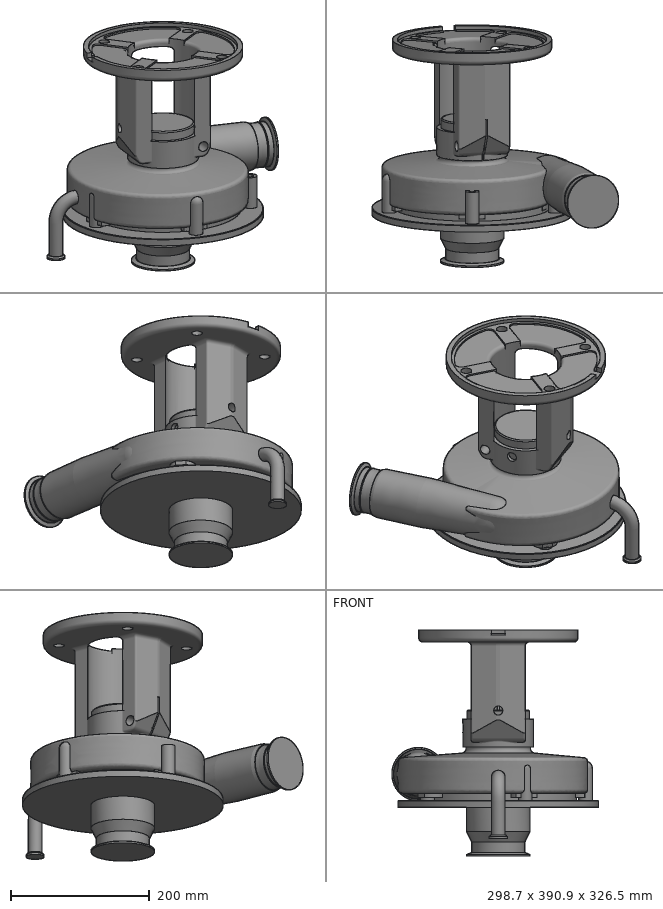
import cadquery as cq
import math


PLATE_R = 145.0
PLATE_T = 10.0
PLATE_CHAMFER = 1.0
SUCTION_R = 46.0
SUCTION_END_R = 38.4
SUCTION_CONE_TOP_Z = -34.8
SUCTION_CONE_BOTTOM_Z = -50.0
SUCTION_END_Z = -70.3
SUCTION_FERRULE_R = 45.8

FERRULE_T = 2.5
FERRULE_TAPER = 2.5
FERRULE_LAND = 1.0

VOLUTE_R_AT_Y = 121.0
VOLUTE_GROWTH = 7.75
VOLUTE_START = math.radians(-67)
VOLUTE_END = math.radians(284)
SPIRAL_STEPS = 24
VOLUTE_BOTTOM_Z = 20.0
VOLUTE_RIM_Z = 71.4
ROOF_R = 54.0
ROOF_Z = 78.4
VOLUTE_FILLET = 5.5
DRUM_R = 113.0

LUG_COUNT = 5
LUG_CIRCLE_R = 126.0
LUG_R = 10.0
LUG_SPHERE_Z = 56.5
FLAT_LUG = 1
LUG_HOLE_D = 10.0
LUG_HOLE_DEPTH = 10.0
PAD_CIRCLE_R = 120.0
PAD_R = 19.0
PAD_INSET = 3.5
PAD_BOTTOM_Z = 14.0
PAD_OVERLAP = 1.0

OUTLET_X = -115.0
OUTLET_Z = 48.0
OUTLET_END_Y = 211.0
OUTLET_FERRULE_R = 38.7
OUTLET_ROOT_R = 31.0
OUTLET_R = 36.3
OUTLET_CONE_END_Y = 107.0
OUTLET_SHOULDER_Y = 176.0
OUTLET_SHOULDER_L = 5.5
OUTLET_SHOULDER_START_R = 35.7
OUTLET_SHOULDER_R = 34.3
OUTLET_NECK_R = 32.6
OUTLET_NECK_FLARE_R = 33.2
OUTLET_NECK_Y = 188.0
BEAD_Y = 196.5
BEAD_W = 2.0
BEAD_H = 0.8

DRAIN_R = 10.0
DRAIN_Z = 43.8
DRAIN_BEND_R = 34.0
DRAIN_Y = -166.8
DRAIN_START_Y = -110.0
DRAIN_END_Z = -44.8
DRAIN_FERRULE_R = 13.1

NECK_R = 46.8
NECK_Z = 83.8
NECK_FLARE_R = 6.5
RING_R = 51.2
RING_BOTTOM_Z = 87.0
RING_TOP_Z = 127.3
CORE_R = 45.2
CORE_TOP_Z = 140.8
CORE_CHAMFER = 1.8
RING_HOLE_D = 14.0
RING_HOLE_Z = 114.8

FLANGE_R = 115.0
FLANGE_TOP_Z = 256.2
FLANGE_T = 17.6
FLANGE_FILLET = 6.0
RECESS_R = 107.5
RECESS_DEPTH = 5.0
POCKET_R = 103.0
POCKET_DEPTH = 7.3
POCKET_CORNER_R = 9.0
POCKET_MOUTH_R = 5.5
SPOKE_W = 23.7
SPOKE_ANGLE = 45.0
BOLT_COUNT = 4
BOLT_CIRCLE_R = 92.3
BOLT_HOLE_D = 15.3
RIM_SLOT_W = 20.0
RIM_SLOT_L = 19.0

LEG_HALF_W = 39.0
LEG_RIDGE_HALF_W = 2.7
LEG_RIDGE_Y = 68.3
LEG_SHOULDER_Y = 58.0
LEG_INNER_Y = 20.0
LEG_BOTTOM_Z = 94.0
LEG_FILLET = 3.0
LEG_TOP_FILLET = 6.0
TOE_TOP_Z = 126.0
TOE_BOTTOM_Y = 52.0
TOE_FILLET = 11.0
RING_BLEND_R = 2.0
RIDGE_HOLE_D = 13.0
RIDGE_HOLE_Z = 139.7
CLAMP_HOLE_D = 14.6
CLAMP_HOLE_Y = 47.0
CLAMP_HOLE_Z = 109.6
CLAMP_SLIT_W = 2.8
CLAMP_SLIT_TOP_Z = 150.0

TOLERANCE = 0.05

FLANGE_BOTTOM_Z = FLANGE_TOP_Z - FLANGE_T
POCKET_FLOOR_Z = FLANGE_TOP_Z - POCKET_DEPTH


def cylinder(radius, bottom_z, top_z):
    return cq.Workplane("XY").workplane(offset=bottom_z).circle(radius).extrude(top_z - bottom_z)


def revolved(profile):
    """Turn a closed (radius, height) outline about the Z axis."""
    return cq.Workplane("XZ").polyline(profile).close().revolve(360, (0, 0, 0), (0, 1, 0))


def ferrule(disc_r, pipe_r):
    """Clamp ferrule whose flat end lies at Z = 0, tapering to the pipe above it."""
    taper_top = FERRULE_T + FERRULE_TAPER
    return revolved([
        (0, 0),
        (disc_r, 0),
        (disc_r, FERRULE_T),
        (pipe_r + FERRULE_LAND, taper_top),
        (0, taper_top),
    ])


def base_and_suction():
    plate = cylinder(PLATE_R, 0, PLATE_T).faces(">Z").edges().chamfer(PLATE_CHAMFER)
    pipe = revolved([
        (0, PLATE_T / 2),
        (SUCTION_R, PLATE_T / 2),
        (SUCTION_R, SUCTION_CONE_TOP_Z),
        (SUCTION_END_R, SUCTION_CONE_BOTTOM_Z),
        (SUCTION_END_R, SUCTION_END_Z),
        (0, SUCTION_END_Z),
    ])
    end = ferrule(SUCTION_FERRULE_R, SUCTION_END_R).translate((0, 0, SUCTION_END_Z))
    return plate.union(pipe).union(end)


def polar_point(radius, angle):
    """Point at a clockwise angle from +Y, seen from above."""
    return (radius * math.sin(angle), radius * math.cos(angle))


def spiral_point(angle, inset=0):
    return polar_point(VOLUTE_R_AT_Y - inset + VOLUTE_GROWTH * angle / (math.pi / 2), angle)


def spiral_outline(height, inset=0):
    step = (VOLUTE_END - VOLUTE_START) / SPIRAL_STEPS
    points = [spiral_point(VOLUTE_START + step * i, inset) for i in range(SPIRAL_STEPS + 1)]
    return cq.Workplane("XY").workplane(offset=height).spline(points).close()


def roof_circle(height):
    """Circle divided at the two ends of the spiral, so that the roof can be ruled between them."""
    middle = (VOLUTE_START + VOLUTE_END) / 2
    start = polar_point(ROOF_R, VOLUTE_START)
    end = polar_point(ROOF_R, VOLUTE_END)
    return (
        cq.Workplane("XY")
        .workplane(offset=height)
        .moveTo(*start)
        .threePointArc(polar_point(ROOF_R, middle), end)
        .threePointArc(polar_point(ROOF_R, middle + math.pi), start)
        .close()
    )


def volute():
    wall = spiral_outline(VOLUTE_BOTTOM_Z).extrude(VOLUTE_RIM_Z - VOLUTE_BOTTOM_Z)
    rim_wire = spiral_outline(VOLUTE_RIM_Z).val()
    roof_wire = roof_circle(ROOF_Z).val()
    roof = cq.Workplane("XY").newObject([cq.Solid.makeLoft([rim_wire, roof_wire], True)])
    body = wall.union(roof)
    rim = body.edges().filter(lambda edge: edge.BoundingBox().zmin > VOLUTE_RIM_Z - TOLERANCE)
    rim = rim.filter(lambda edge: edge.BoundingBox().zmax < VOLUTE_RIM_Z + TOLERANCE)
    body = body.newObject(rim.vals()).fillet(VOLUTE_FILLET)
    body = body.faces("<Z").edges().fillet(VOLUTE_FILLET)
    return body.union(cylinder(DRUM_R, PLATE_T / 2, VOLUTE_BOTTOM_Z + PAD_OVERLAP))


def at_lug_positions(body, positions):
    """Copies of a body made on the +X side, turned to the given lug positions."""
    copies = cq.Workplane("XY")
    for i in positions:
        copies = copies.add(body.rotate((0, 0, 0), (0, 0, 1), 360 / LUG_COUNT * i))
    return copies.combine()


def lugs():
    domed = [i for i in range(LUG_COUNT) if i != FLAT_LUG]
    post = cylinder(LUG_R, PLATE_T / 2, LUG_SPHERE_Z)
    dome = cq.Workplane("XY").sphere(LUG_R).translate((0, 0, LUG_SPHERE_Z))
    domed_lug = post.union(dome).translate((LUG_CIRCLE_R, 0, 0))
    flat_lug = post.faces(">Z").workplane().hole(LUG_HOLE_D, LUG_HOLE_DEPTH).translate((LUG_CIRCLE_R, 0, 0))
    return at_lug_positions(domed_lug, domed).add(at_lug_positions(flat_lug, [FLAT_LUG])).combine()


def pads():
    """Round pads hanging below the volute beside the lugs, trimmed to the spiral."""
    disc_top_z = VOLUTE_BOTTOM_Z + PAD_OVERLAP
    disc = cylinder(PAD_R, PAD_BOTTOM_Z, disc_top_z).translate((PAD_CIRCLE_R, 0, 0))
    limit = spiral_outline(PAD_BOTTOM_Z, PAD_INSET).extrude(disc_top_z - PAD_BOTTOM_Z)
    return at_lug_positions(disc, range(LUG_COUNT)).intersect(limit)


def outlet_pipe():
    shoulder_end = OUTLET_SHOULDER_Y + OUTLET_SHOULDER_L
    tube = revolved([
        (0, 0),
        (OUTLET_ROOT_R, 0),
        (OUTLET_R, OUTLET_CONE_END_Y),
        (OUTLET_SHOULDER_START_R, OUTLET_SHOULDER_Y),
        (OUTLET_SHOULDER_R, shoulder_end),
        (OUTLET_NECK_FLARE_R, shoulder_end),
        (OUTLET_NECK_R, OUTLET_NECK_Y),
        (OUTLET_NECK_R, BEAD_Y),
        (OUTLET_NECK_R + BEAD_H, BEAD_Y + BEAD_W / 2),
        (OUTLET_NECK_R, BEAD_Y + BEAD_W),
        (OUTLET_NECK_R, OUTLET_END_Y),
        (0, OUTLET_END_Y),
    ])
    tube = tube.union(cq.Workplane("XY").sphere(OUTLET_ROOT_R))
    end = ferrule(OUTLET_FERRULE_R, OUTLET_NECK_R).mirror("XY").translate((0, 0, OUTLET_END_Y))
    along_y = tube.union(end).rotate((0, 0, 0), (1, 0, 0), -90)
    return along_y.translate((OUTLET_X, 0, OUTLET_Z))


def drain_pipe():
    bend_y = DRAIN_Y + DRAIN_BEND_R
    path = (
        cq.Workplane("YZ")
        .moveTo(DRAIN_START_Y, DRAIN_Z)
        .lineTo(bend_y, DRAIN_Z)
        .radiusArc((DRAIN_Y, DRAIN_Z - DRAIN_BEND_R), -DRAIN_BEND_R)
        .lineTo(DRAIN_Y, DRAIN_END_Z)
    )
    pipe = (
        cq.Workplane("XZ", origin=(0, DRAIN_START_Y, DRAIN_Z))
        .circle(DRAIN_R)
        .sweep(path)
    )
    end = ferrule(DRAIN_FERRULE_R, DRAIN_R).translate((0, DRAIN_Y, DRAIN_END_Z))
    return pipe.union(end)


def neck_and_core():
    neck = (
        cq.Workplane("XZ")
        .moveTo(0, VOLUTE_RIM_Z)
        .lineTo(ROOF_R, VOLUTE_RIM_Z)
        .lineTo(ROOF_R, ROOF_Z)
        .radiusArc((NECK_R, NECK_Z), NECK_FLARE_R)
        .lineTo(NECK_R, RING_BOTTOM_Z)
        .lineTo(0, RING_BOTTOM_Z)
        .close()
        .revolve(360, (0, 0, 0), (0, 1, 0))
    )
    core = cylinder(CORE_R, RING_BOTTOM_Z, CORE_TOP_Z).faces(">Z").edges().chamfer(CORE_CHAMFER)
    return neck.union(core)


def spokes():
    """Two crossing bars that reach across the flange over its full thickness."""
    bar = cq.Workplane("XY").workplane(offset=FLANGE_BOTTOM_Z).rect(2 * FLANGE_R, SPOKE_W).extrude(FLANGE_T)
    return bar.rotate((0, 0, 0), (0, 0, 1), SPOKE_ANGLE).union(bar.rotate((0, 0, 0), (0, 0, 1), -SPOKE_ANGLE))


def flange_pockets():
    """Four pockets between the spokes that carry the bolt holes."""
    sectors = cylinder(POCKET_R, POCKET_FLOOR_Z, FLANGE_TOP_Z).cut(spokes())
    outer_corners = sectors.edges("|Z").filter(
        lambda edge: math.hypot(edge.Center().x, edge.Center().y) > RING_R
    )
    pockets = cq.Workplane("XY")
    for sector in sectors.solids().vals():
        corners = [edge for edge in outer_corners.vals() if sector.isInside(edge.Center(), TOLERANCE)]
        pockets = pockets.add(sector.fillet(POCKET_CORNER_R, corners))
    return pockets.combine()


def pocket_mouth():
    """Rounded funnel that eases the pocket floors into the bore."""
    r = POCKET_MOUTH_R
    funnel = (
        cq.Workplane("XZ")
        .moveTo(0, POCKET_FLOOR_Z - r)
        .lineTo(RING_R, POCKET_FLOOR_Z - r)
        .radiusArc((RING_R + r, POCKET_FLOOR_Z), r)
        .lineTo(RING_R + r, FLANGE_TOP_Z)
        .lineTo(0, FLANGE_TOP_Z)
        .close()
        .revolve(360, (0, 0, 0), (0, 1, 0))
    )
    return funnel.cut(spokes())


def leg():
    """Leg on the +Y side, with a sloped toe."""
    height = FLANGE_BOTTOM_Z - LEG_BOTTOM_Z
    body = (
        cq.Workplane("XY")
        .workplane(offset=LEG_BOTTOM_Z)
        .polyline([
            (-LEG_HALF_W, LEG_INNER_Y),
            (-LEG_HALF_W, LEG_SHOULDER_Y),
            (-LEG_RIDGE_HALF_W, LEG_RIDGE_Y),
            (LEG_RIDGE_HALF_W, LEG_RIDGE_Y),
            (LEG_HALF_W, LEG_SHOULDER_Y),
            (LEG_HALF_W, LEG_INNER_Y),
        ])
        .close()
        .extrude(height)
    )
    toe = (
        cq.Workplane("YZ")
        .polyline([
            (TOE_BOTTOM_Y, LEG_BOTTOM_Z),
            (LEG_RIDGE_Y, TOE_TOP_Z),
            (LEG_RIDGE_Y, LEG_BOTTOM_Z),
        ])
        .close()
        .extrude(LEG_HALF_W, both=True)
    )
    body = body.cut(toe)
    body = body.faces("<Z").edges(">Y").fillet(TOE_FILLET)
    side_outlines = body.faces("<X or >X").edges("not(<Y or >Z)")
    return body.newObject(side_outlines.vals()).fillet(LEG_FILLET)


def flange_with_legs():
    flange = cylinder(FLANGE_R, FLANGE_BOTTOM_Z, FLANGE_TOP_Z).faces("<Z").edges().fillet(FLANGE_FILLET)
    body = flange.union(leg()).union(leg().mirror("XZ"))
    junction = body.faces(cq.selectors.NearestToPointSelector((0, 0, FLANGE_BOTTOM_Z)))
    outline = junction.edges("not %CIRCLE").filter(lambda edge: abs(edge.Center().y) > LEG_INNER_Y)
    body = body.newObject(outline.vals()).fillet(LEG_TOP_FILLET)
    bore = cylinder(RING_R, RING_TOP_Z, FLANGE_TOP_Z)
    return body.cut(bore)


def flange_cuts():
    recess = cylinder(RECESS_R, FLANGE_TOP_Z - RECESS_DEPTH, FLANGE_TOP_Z)
    bolt_holes = (
        cq.Workplane("XY")
        .workplane(offset=FLANGE_BOTTOM_Z)
        .polarArray(BOLT_CIRCLE_R, SPOKE_ANGLE, 360, BOLT_COUNT)
        .circle(BOLT_HOLE_D / 2)
        .extrude(FLANGE_T)
    )
    rim_slot = cq.Workplane("XY").box(
        RIM_SLOT_W, RIM_SLOT_L, POCKET_DEPTH, centered=(True, False, False)
    ).translate((0, -FLANGE_R, POCKET_FLOOR_Z))
    pockets = flange_pockets().union(pocket_mouth())
    return recess.union(bolt_holes).union(rim_slot).union(pockets)


def clamp_cuts():
    """Holes in the legs and ring, and the slit that splits the ring on the +Y side."""
    reach = LEG_RIDGE_Y - CORE_R
    ridge_hole = (
        cq.Workplane("XZ", origin=(0, -CORE_R, RIDGE_HOLE_Z))
        .circle(RIDGE_HOLE_D / 2)
        .extrude(reach)
    )
    clamp_hole = (
        cq.Workplane("YZ", origin=(0, CLAMP_HOLE_Y, CLAMP_HOLE_Z))
        .circle(CLAMP_HOLE_D / 2)
        .extrude(RING_R, both=True)
    )
    slit_height = CLAMP_SLIT_TOP_Z - RING_BOTTOM_Z
    slit = cq.Workplane("XY").box(
        CLAMP_SLIT_W, LEG_RIDGE_Y, slit_height, centered=(True, False, False)
    ).translate((0, 0, RING_BOTTOM_Z))
    ring_hole = (
        cq.Workplane("YZ", origin=(0, 0, RING_HOLE_Z))
        .circle(RING_HOLE_D / 2)
        .extrude(-RING_R)
    )
    return ridge_hole.union(clamp_hole).union(slit).union(ring_hole)


def motor_adapter():
    ring = cylinder(RING_R, RING_BOTTOM_Z, RING_TOP_Z)
    body = flange_with_legs().union(ring)
    leg_corners = body.edges("|Z").filter(
        lambda edge: edge.Center().z < RING_TOP_Z and abs(abs(edge.Center().x) - LEG_HALF_W) < TOLERANCE
    )
    body = body.newObject(leg_corners.vals()).fillet(RING_BLEND_R)
    return body.cut(flange_cuts()).cut(clamp_cuts())


result = base_and_suction().union(volute()).union(lugs()).union(pads())
result = result.union(outlet_pipe()).union(drain_pipe())
result = result.union(motor_adapter()).union(neck_and_core())